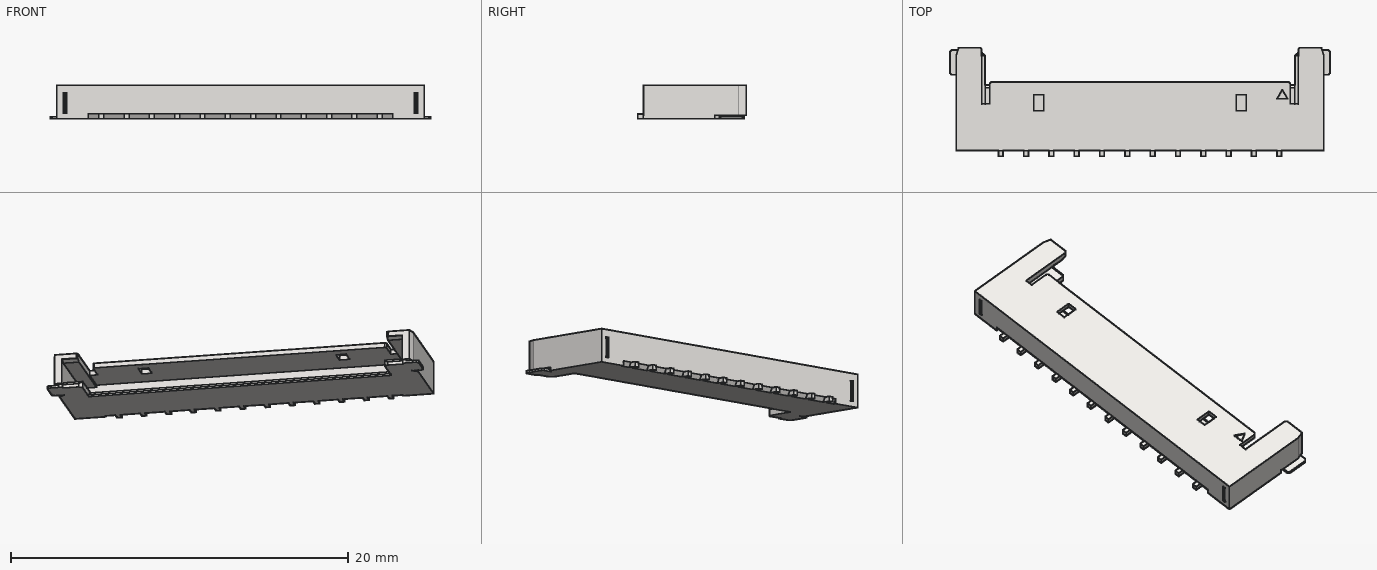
import cadquery as cq
import math


overall_length = 22.55
height = 2.0
body_length = 21.78
body_depth = 6.1
half_body = body_length / 2

roof_thickness = 0.3
floor_thickness = 0.3
side_wall = 0.56
front_wall = 0.9
roof_depth = 4.08
floor_depth = 3.9
floor_lead_in = 0.18

arm_width = 1.5
notch_width = 0.47
notch_start = 2.77
corner_chamfer = 0.1
arm_taper_width = 0.14
arm_taper_length = 0.47
cavity_roof = height - roof_thickness

rail_width = 0.2
rail_end = 5.64
rail_lead_in = 0.18
rail_height = 0.38
lip_drop = 0.14
lip_lead_in = 0.3

pin_count = 12
pin_row_length = 16.5
pin_width = 0.3
pin_height = 0.3
pin_reach = 0.34
pin_pitch = pin_row_length / (pin_count - 1)
relief_length = 18.05
relief_height = 0.3
relief_depth = 0.15

tab_front = 4.49
tab_back = 5.98
tab_thickness = 0.14
tab_chamfer = 0.11
tab_root = 0.45
pocket_front = 4.25
pocket_height = 0.2
pocket_depth = 0.34

window_spacing = 12.0
window_width = 0.6
window_front = 2.37
window_back = 3.31
slot_inset = 0.38
slot_width = 0.2
slot_bottom = 0.34
slot_top = 1.55
slot_depth = 0.2
blade_clearance = 0.056
mark_side = 0.63
mark_x = 8.43
mark_base = 3.07
mark_depth = 0.1


def box(x_range, y_range, z_range):
    """Box between the given pairs of limits."""
    size = [high - low for low, high in (x_range, y_range, z_range)]
    corner = (x_range[0], y_range[0], z_range[0])
    return cq.Workplane("XY").box(*size, centered=False).translate(corner)


def with_mirror(solid):
    """The solid together with its mirror image across the YZ plane."""
    return solid.union(solid.mirror("YZ"))


def make_shell():
    """Body with side arms and notches, hollowed from the mouth."""
    arm_inner = half_body - arm_width
    roof_half = arm_inner - notch_width
    shell = box((-half_body, half_body), (0, body_depth), (0, height))

    mouth = (
        cq.Workplane("XY")
        .polyline([
            (0, roof_depth),
            (roof_half - corner_chamfer, roof_depth),
            (roof_half, roof_depth - corner_chamfer),
            (roof_half, notch_start),
            (arm_inner, notch_start),
            (arm_inner, body_depth - corner_chamfer),
            (arm_inner + corner_chamfer, body_depth),
            (0, body_depth),
        ])
        .close()
        .extrude(height - floor_thickness)
        .translate((0, 0, floor_thickness))
    )
    shell = shell.cut(with_mirror(mouth))

    taper = (
        cq.Workplane("XY")
        .polyline([
            (half_body, body_depth - arm_taper_length),
            (half_body - arm_taper_width, body_depth),
            (half_body, body_depth),
        ])
        .close()
        .extrude(height)
    )
    shell = shell.cut(with_mirror(taper))

    cavity_half = half_body - side_wall
    cavity = (
        cq.Workplane("YZ")
        .polyline([
            (front_wall, floor_thickness),
            (floor_depth - floor_lead_in, floor_thickness),
            (floor_depth, floor_thickness - floor_lead_in),
            (floor_depth, 0),
            (body_depth, 0),
            (body_depth, cavity_roof),
            (front_wall, cavity_roof),
        ])
        .close()
        .extrude(cavity_half, both=True)
    )
    return shell.cut(cavity)


def make_rail():
    """Rail at the foot of the right-hand arm, with a sloping end cut at an angle."""
    arm_inner = half_body - arm_width
    rail_inner = arm_inner - rail_width
    rail_outer = half_body - side_wall
    rail_tip = rail_end + rail_lead_in
    plan = (
        cq.Workplane("XY")
        .polyline([
            (rail_inner, front_wall),
            (rail_inner, rail_end),
            (arm_inner, rail_tip),
            (rail_outer, rail_tip),
            (rail_outer, front_wall),
        ])
        .close()
        .extrude(rail_height)
    )
    side = (
        cq.Workplane("YZ")
        .polyline([
            (front_wall, 0),
            (rail_tip, 0),
            (rail_tip, rail_height - rail_lead_in),
            (rail_end, rail_height),
            (front_wall, rail_height),
        ])
        .close()
        .extrude(half_body)
    )
    return plan.intersect(side)


def make_lip():
    """Lip that thickens the top plate of the right-hand arm, thinning out at the mouth."""
    lip_bottom = cavity_roof - lip_drop
    return (
        cq.Workplane("YZ")
        .polyline([
            (front_wall, cavity_roof),
            (front_wall, lip_bottom),
            (body_depth - corner_chamfer - lip_lead_in, lip_bottom),
            (body_depth - corner_chamfer, cavity_roof),
        ])
        .close()
        .extrude(arm_width - side_wall)
        .translate((half_body - arm_width, 0, 0))
    )


def make_relief():
    """Sloping relief under the lower front edge."""
    return (
        cq.Workplane("YZ")
        .polyline([(0, 0), (0, relief_height), (relief_depth, 0)])
        .close()
        .extrude(relief_length / 2, both=True)
    )


def make_pin(x):
    """Straight contact tail rooted in the front wall."""
    return box((x - pin_width / 2, x + pin_width / 2), (-pin_reach, front_wall), (0, pin_height))


def make_tab():
    """Solder tab of the right-hand arm, with chamfered outer corners."""
    tab = box((half_body - tab_root, overall_length / 2), (tab_front, tab_back), (0, tab_thickness))
    return tab.edges("|Z and >X").chamfer(tab_chamfer)


def make_pocket():
    """Pocket under the right-hand arm, around the tab, with a slanted front end."""
    inner = half_body - pocket_depth
    return (
        cq.Workplane("XY")
        .polyline([
            (half_body, pocket_front),
            (inner, tab_front),
            (inner, body_depth),
            (half_body, body_depth),
        ])
        .close()
        .extrude(pocket_height)
    )


def make_heel_cut():
    """Cut that lifts the rear end of the right-hand arm clear of the seating plane."""
    return box((half_body - side_wall, half_body), (tab_back, body_depth), (0, pocket_height))


def make_window():
    """Window through the roof on the right-hand side."""
    left = (window_spacing - window_width) / 2
    return box((left, left + window_width), (window_front, window_back), (cavity_roof, height))


def make_slot():
    """Upright slot in the front wall beside the right-hand corner, around a flush blade."""
    right = half_body - slot_inset
    left = right - slot_width
    slot = box((left, right), (0, slot_depth), (slot_bottom, slot_top))
    blade = box(
        (left + blade_clearance, right - blade_clearance),
        (0, slot_depth),
        (slot_bottom + blade_clearance, slot_top - blade_clearance),
    )
    return slot.cut(blade)


def make_mark():
    """Equilateral triangle sunk in the roof to mark pin 1."""
    return (
        cq.Workplane("XY")
        .polyline([
            (mark_x - mark_side / 2, mark_base),
            (mark_x + mark_side / 2, mark_base),
            (mark_x, mark_base + mark_side * math.sin(math.radians(60))),
        ])
        .close()
        .extrude(mark_depth)
        .translate((0, 0, height - mark_depth))
    )


result = make_shell()
for arm_detail in (make_rail(), make_lip()):
    result = result.union(with_mirror(arm_detail))
result = result.cut(make_relief())
for paired_cut in (make_pocket(), make_heel_cut(), make_window(), make_slot()):
    result = result.cut(with_mirror(paired_cut))
result = result.cut(make_mark()).union(with_mirror(make_tab()))
for index in range(pin_count):
    result = result.union(make_pin(index * pin_pitch - pin_row_length / 2))